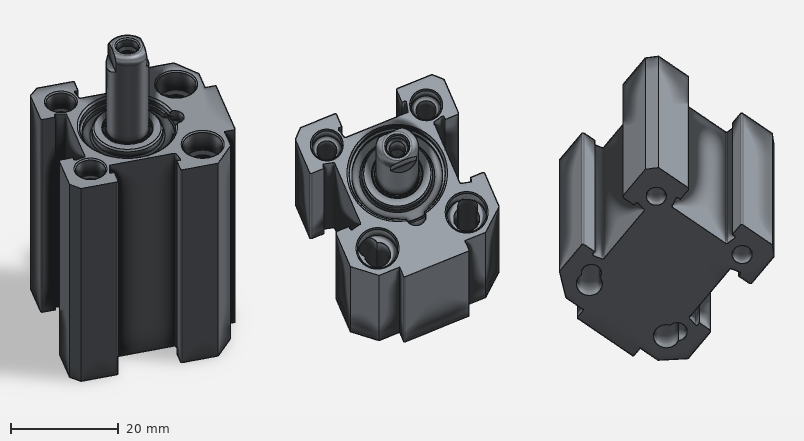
import cadquery as cq
import math


total_height = 66.5
body_height = 47.0
body_width = 30.0
body_depth = 34.0
half_width = body_width / 2
front_y = -half_width
back_y = body_depth - half_width

shoulder_y = 16.9
corner_circle_radius = 20.0
tab_width = 13.2
tab_edge_radius = 0.2
lip_edge_radius = 0.3

slot_mouth_width = 12.1
slot_floor_width = 12.8
slot_undercut_width = 13.8
slot_depth = 5.0
slot_lip_depth = 2.8
slot_corner_radius = 0.25

bolt_spacing = 20.0
bolt_hole_diameter = 3.7
front_recess_diameter = 5.6
front_recess_depth = 4.0
back_hole_x = 9.0
back_hole_y = 12.0
back_hole_diameter = 4.8
back_recess_diameter = 7.45
back_recess_depth = 4.6
recess_chamfer = 0.25

seat_diameter = 17.9
seat_depth = 9.3
groove_diameter = 19.0
seat_taper = 0.4
notch_diameter = 3.7
notch_center_y = 9.0

ring_inner_diameter = 16.9
ring_thickness = 1.0
ring_top_depth = 1.4
ring_bottom_depth = ring_top_depth + ring_thickness
ring_gap_half_angle = 20.6

boss_diameter = 13.2
boss_top_depth = 0.45
boss_chamfer = 0.3
boss_foot_height = 0.4
cover_bore_diameter = 9.2
cover_bore_chamfer = 0.2

seal_shoulder_depth = 1.2
seal_lip_depth = 0.7
seal_lip_diameter = 8.45

rod_diameter = 8.0
rod_nose_radius = 1.5
flat_width = 6.0
flat_length = 3.5
nose_rim_diameter = 5.6
hole_diameter = 4.1
hole_depth = 1.85
hole_chamfer = 0.25
drill_diameter = 3.0
drill_depth = 8.0
drill_point_angle = 118.0

seat_floor_z = body_height - seat_depth
ring_bottom_z = body_height - ring_bottom_depth


def cylinder(diameter, bottom_z, top_z):
    return cq.Workplane("XY").workplane(offset=bottom_z).circle(diameter / 2).extrude(top_z - bottom_z)


def cone(bottom_diameter, top_diameter, bottom_z, top_z):
    return cq.Workplane(
        cq.Solid.makeCone(bottom_diameter / 2, top_diameter / 2, top_z - bottom_z, cq.Vector(0, 0, bottom_z))
    )


def housing_block():
    """Extruded outline without the slots; its corners lie on the corner circle."""
    side_back_y = math.sqrt(corner_circle_radius**2 - half_width**2)
    shoulder_x = math.sqrt(corner_circle_radius**2 - shoulder_y**2)
    front_x = math.sqrt(corner_circle_radius**2 - front_y**2)
    right_side = [
        (front_x, front_y),
        (half_width, -side_back_y),
        (half_width, side_back_y),
        (shoulder_x, shoulder_y),
        (tab_width / 2, shoulder_y),
        (tab_width / 2, back_y),
    ]
    left_side = [(-x, y) for x, y in reversed(right_side)]
    block = cq.Workplane("XY").polyline(right_side + left_side).close().extrude(body_height)
    return block.faces(">Y").edges("|Z").fillet(tab_edge_radius)


def slot_cutter():
    """Slot in the -Y side: a mouth with rounded lips and a wider undercut with sloping sides."""
    mouth_x = slot_mouth_width / 2
    undercut_x = slot_undercut_width / 2
    floor_x = slot_floor_width / 2
    lip_y = front_y + slot_lip_depth
    floor_y = front_y + slot_depth
    inner_y = (lip_y + floor_y) / 2
    lip_round_y = front_y + lip_edge_radius
    lip_round_x = mouth_x + lip_edge_radius
    mouth = (
        cq.Workplane("XY")
        .moveTo(-lip_round_x, front_y)
        .radiusArc((-mouth_x, lip_round_y), -lip_edge_radius)
        .lineTo(-mouth_x, inner_y)
        .lineTo(mouth_x, inner_y)
        .lineTo(mouth_x, lip_round_y)
        .radiusArc((lip_round_x, front_y), -lip_edge_radius)
        .close()
        .extrude(body_height)
    )
    undercut = (
        cq.Workplane("XY")
        .polyline([(-undercut_x, lip_y), (-floor_x, floor_y), (floor_x, floor_y), (undercut_x, lip_y)])
        .close()
        .extrude(body_height)
        .edges("|Z")
        .fillet(slot_corner_radius)
    )
    return mouth.union(undercut)


def recessed_hole_cutter(hole_diameter, recess_diameter, recess_depth):
    """Through hole on the Z axis with a recess from the top and a chamfered mouth."""
    mouth_diameter = recess_diameter + 2 * recess_chamfer
    hole = cylinder(hole_diameter, 0, body_height)
    recess = cylinder(recess_diameter, body_height - recess_depth, body_height)
    mouth = cone(recess_diameter, mouth_diameter, body_height - recess_chamfer, body_height)
    return hole.union(recess).union(mouth)


def cover_seat_cutter():
    """Bore for the cover, with the ring groove, tapered edges and the notch for removing the ring."""
    taper_diameter = seat_diameter + 2 * seat_taper
    seat = cylinder(seat_diameter, seat_floor_z, body_height)
    mouth = cone(seat_diameter, taper_diameter, body_height - seat_taper, body_height)
    groove = cylinder(groove_diameter, ring_bottom_z, ring_bottom_z + ring_thickness)
    groove_taper = cone(seat_diameter, taper_diameter, ring_bottom_z - seat_taper, ring_bottom_z)
    notch = cylinder(notch_diameter, ring_bottom_z, body_height).translate((0, notch_center_y, 0))
    return seat.union(mouth).union(groove).union(groove_taper).union(notch)


def make_housing():
    housing = housing_block()
    for angle in (-90, 0, 90):
        housing = housing.cut(slot_cutter().rotate((0, 0, 0), (0, 0, 1), angle))
    for side in (-1, 1):
        bolt_x = side * bolt_spacing / 2
        front_hole = recessed_hole_cutter(bolt_hole_diameter, front_recess_diameter, front_recess_depth)
        back_bolt_hole = cylinder(bolt_hole_diameter, 0, body_height - back_recess_depth)
        back_hole = recessed_hole_cutter(back_hole_diameter, back_recess_diameter, back_recess_depth)
        housing = housing.cut(front_hole.translate((bolt_x, -bolt_spacing / 2, 0)))
        housing = housing.cut(back_bolt_hole.translate((bolt_x, bolt_spacing / 2, 0)))
        housing = housing.cut(back_hole.translate((side * back_hole_x, back_hole_y, 0)))
    return housing.cut(cover_seat_cutter())


def make_retaining_ring():
    """C-shaped ring in the groove, open toward +Y."""
    top_z = ring_bottom_z + ring_thickness
    ring = cylinder(groove_diameter, ring_bottom_z, top_z)
    ring = ring.cut(cylinder(ring_inner_diameter, ring_bottom_z, top_z))
    gap_y = groove_diameter
    gap_x = gap_y * math.tan(math.radians(ring_gap_half_angle))
    gap = (
        cq.Workplane("XY")
        .workplane(offset=ring_bottom_z)
        .polyline([(0, 0), (gap_x, gap_y), (-gap_x, gap_y)])
        .close()
        .extrude(ring_thickness)
    )
    return ring.cut(gap)


def make_rod_cover():
    """Flanged cover held by the ring, with a raised boss around the rod."""
    boss_top_z = body_height - boss_top_depth
    boss_foot_diameter = boss_diameter + 2 * boss_foot_height
    bore_mouth_diameter = cover_bore_diameter + 2 * cover_bore_chamfer
    flange = cylinder(seat_diameter, seat_floor_z, ring_bottom_z)
    boss = cylinder(boss_diameter, ring_bottom_z, boss_top_z).faces(">Z").chamfer(boss_chamfer)
    foot = cone(boss_foot_diameter, boss_diameter, ring_bottom_z, ring_bottom_z + boss_foot_height)
    bore = cylinder(cover_bore_diameter, seat_floor_z, boss_top_z)
    bore_mouth = cone(cover_bore_diameter, bore_mouth_diameter, boss_top_z - cover_bore_chamfer, boss_top_z)
    return flange.union(boss).union(foot).cut(bore).cut(bore_mouth)


def make_rod_seal():
    """Sleeve between the rod and the cover bore, with a thinner lip standing up around the rod."""
    lip_top_z = body_height - seal_lip_depth
    sleeve = cylinder(cover_bore_diameter, seat_floor_z, body_height - seal_shoulder_depth)
    lip = cylinder(seal_lip_diameter, seat_floor_z, lip_top_z)
    return sleeve.union(lip).cut(cylinder(rod_diameter, seat_floor_z, lip_top_z))


def rod_blank():
    """Turned rod with a rounded nose and a stepped, pointed center hole."""
    rod_radius = rod_diameter / 2
    rim_radius = nose_rim_diameter / 2
    hole_radius = hole_diameter / 2
    drill_radius = drill_diameter / 2
    nose_center_x = rod_radius - rod_nose_radius
    nose_height = math.sqrt(rod_nose_radius**2 - (rim_radius - nose_center_x) ** 2)
    hole_bottom_z = total_height - hole_depth
    drill_floor_z = total_height - drill_depth
    drill_point_height = drill_radius / math.tan(math.radians(drill_point_angle / 2))
    return (
        cq.Workplane("XZ")
        .moveTo(0, seat_floor_z)
        .lineTo(rod_radius, seat_floor_z)
        .lineTo(rod_radius, total_height - nose_height)
        .radiusArc((rim_radius, total_height), -rod_nose_radius)
        .lineTo(hole_radius + hole_chamfer, total_height)
        .lineTo(hole_radius, total_height - hole_chamfer)
        .lineTo(hole_radius, hole_bottom_z)
        .lineTo(drill_radius, hole_bottom_z - (hole_radius - drill_radius))
        .lineTo(drill_radius, drill_floor_z)
        .lineTo(0, drill_floor_z - drill_point_height)
        .close()
        .revolve(360, (0, 0, 0), (0, 1, 0))
    )


def flat_cutter():
    """Cut for the wrench flat on the +Y side, ending in a 45 degree slope."""
    flat_y = flat_width / 2
    flat_end_z = total_height - flat_length
    outer_y = rod_diameter
    slope_drop = outer_y - flat_y
    return (
        cq.Workplane("YZ")
        .polyline(
            [
                (flat_y, total_height),
                (flat_y, flat_end_z),
                (outer_y, flat_end_z - slope_drop),
                (outer_y, total_height),
            ]
        )
        .close()
        .extrude(rod_diameter, both=True)
    )


def make_rod():
    flat = flat_cutter()
    return rod_blank().cut(flat).cut(flat.mirror("XZ"))


housing = make_housing()
retaining_ring = make_retaining_ring()
rod_cover = make_rod_cover()
rod_seal = make_rod_seal()
rod = make_rod()

result = cq.Compound.makeCompound(
    [housing.val(), retaining_ring.val(), rod_cover.val(), rod_seal.val(), rod.val()]
)